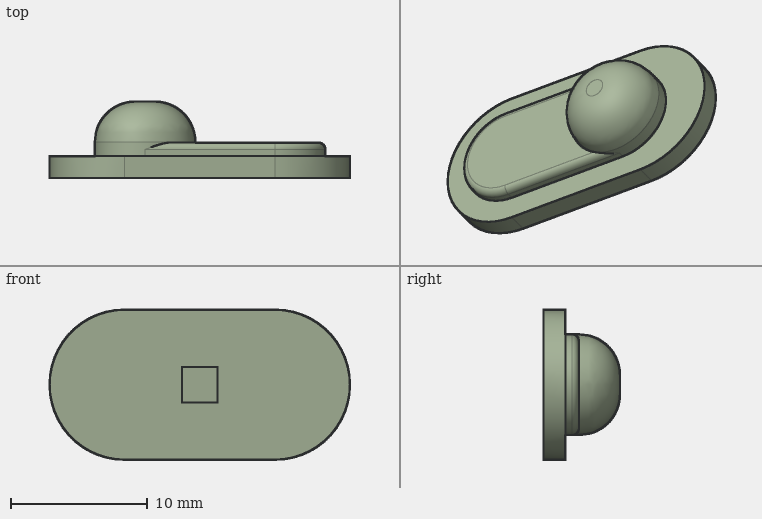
import cadquery as cq

plate_length = 22.0
plate_width = 11.0
plate_thickness = 1.6
end_offset = (plate_length - plate_width) / 2

total_depth = 5.6
rail_height = 1.0
rail_edge_radius = 0.5
knob_radius = 3.7
knob_offset = -4.0
dome_edge_radius = 3.0

socket_side = 2.6
socket_depth = 1.8


def back_facing_plane(depth):
    """XZ sketch plane at Y = depth that extrudes toward +Y; local Y is -Z."""
    return cq.Plane(origin=(0, depth, 0), xDir=(1, 0, 0), normal=(0, 1, 0))


plate = (
    cq.Workplane(back_facing_plane(0))
    .slot2D(plate_length, plate_width)
    .extrude(plate_thickness)
)

rail = (
    cq.Workplane(back_facing_plane(plate_thickness))
    .moveTo(knob_offset, -knob_radius)
    .lineTo(end_offset, -knob_radius)
    .threePointArc((end_offset + knob_radius, 0), (end_offset, knob_radius))
    .lineTo(knob_offset, knob_radius)
    .close()
    .extrude(rail_height)
)
rail = rail.faces(">Y").edges("not <X").fillet(rail_edge_radius)

knob = (
    cq.Workplane(back_facing_plane(plate_thickness))
    .center(knob_offset, 0)
    .circle(knob_radius)
    .extrude(total_depth - plate_thickness)
    .faces(">Y")
    .edges()
    .fillet(dome_edge_radius)
)

socket = cq.Workplane(back_facing_plane(0)).rect(socket_side, socket_side).extrude(socket_depth)

result = plate.union(rail).union(knob).cut(socket)